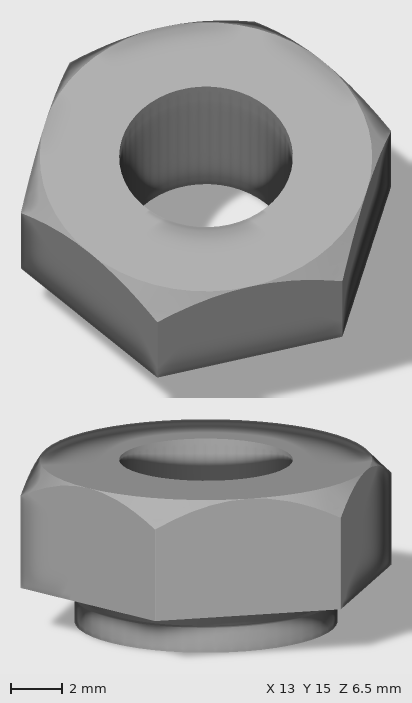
import cadquery as cq
import math

outer_diameter = 15.0
across_flats = 13.0
hex_height = 4.7
neck_height = 0.8
flange_height = 1.0
neck_diameter = 9.7
flange_diameter = 10.3
bore_diameter = 6.8

outer_radius = outer_diameter / 2
flat_radius = across_flats / 2
across_corners = across_flats / math.cos(math.pi / 6)
hex_bottom = flange_height + neck_height
total_height = hex_bottom + hex_height
chamfer_drop = outer_radius - flat_radius
chamfer_bottom = total_height - chamfer_drop


def cylinder(diameter, bottom, height):
    return cq.Workplane("XY").workplane(offset=bottom).circle(diameter / 2).extrude(height)


def chamfered_hexagon():
    """Hexagon with corners on the Y axis and a conical chamfer on its top corners."""
    hexagon = (
        cq.Workplane("XY")
        .workplane(offset=hex_bottom)
        .polygon(6, across_corners)
        .extrude(hex_height)
        .rotate((0, 0, 0), (0, 0, 1), 90)
    )
    envelope = (
        cq.Workplane("XZ")
        .moveTo(0, hex_bottom)
        .lineTo(outer_radius, hex_bottom)
        .lineTo(outer_radius, chamfer_bottom)
        .lineTo(flat_radius, total_height)
        .lineTo(0, total_height)
        .close()
        .revolve(360, (0, 0, 0), (0, 1, 0))
    )
    return hexagon.intersect(envelope)


flange = cylinder(flange_diameter, 0, flange_height)
neck = cylinder(neck_diameter, flange_height, neck_height)
bore = cylinder(bore_diameter, 0, total_height)

result = chamfered_hexagon().union(neck).union(flange).cut(bore)